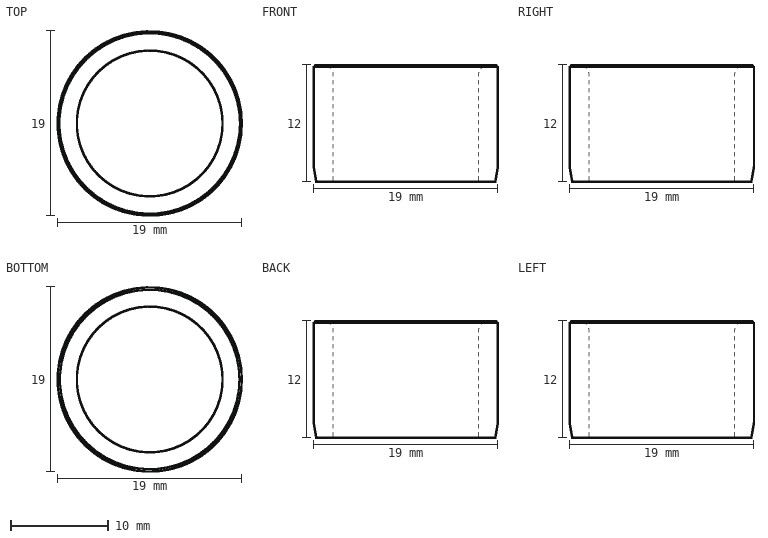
import cadquery as cq
import math

outer_diameter = 19
bore_diameter = 15.0
height = 12.0

lead_in_height = 1.5
lead_in_angle = 10
top_chamfer = 0.2
bore_round = 1.0

outer_radius = outer_diameter / 2
bore_radius = bore_diameter / 2
lead_in_inset = lead_in_height * math.tan(math.radians(lead_in_angle))

round_offset = bore_round * (1 - math.sqrt(0.5))
round_middle = (bore_radius + round_offset, height - round_offset)

half_section = (
    cq.Workplane("XZ")
    .moveTo(bore_radius, 0)
    .lineTo(outer_radius - lead_in_inset, 0)
    .lineTo(outer_radius, lead_in_height)
    .lineTo(outer_radius, height - top_chamfer)
    .lineTo(outer_radius - top_chamfer, height)
    .lineTo(bore_radius + bore_round, height)
    .threePointArc(round_middle, (bore_radius, height - bore_round))
    .close()
)

result = half_section.revolve(360, (0, 0, 0), (0, 1, 0))